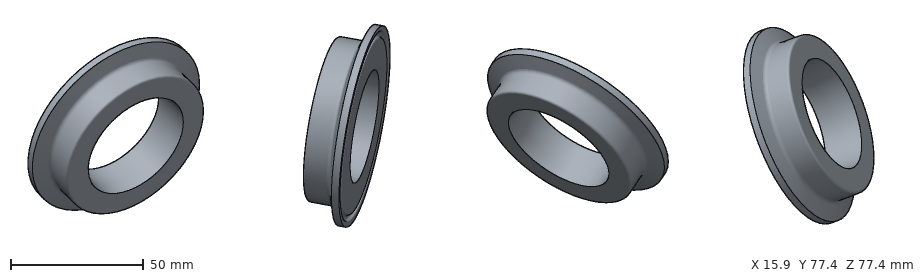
import cadquery as cq
import math

length = 15.9
flange_radius = 38.7
rim_width = 2.95
flange_back_angle = 20.0
hub_radius = 63.5 / 2
bore_front_radius = 21.75
bore_back_radius = 22.0

neck_fillet = 1.5
hub_end_fillet = 0.9

groove_radius = 35.4
groove_width = 2.6
groove_wall_depth = 0.8
groove_wall_draft = 20.0
groove_edge_fillet = 0.5


def make_body():
    """Flange with a conical back, running into the cylindrical hub."""
    cone_end = rim_width + (flange_radius - hub_radius) * math.tan(math.radians(flange_back_angle))
    profile = (
        cq.Workplane("XY")
        .moveTo(0, 0)
        .lineTo(0, flange_radius)
        .lineTo(rim_width, flange_radius)
        .lineTo(cone_end, hub_radius)
        .lineTo(length, hub_radius)
        .lineTo(length, 0)
        .close()
    )
    body = profile.revolve(360, (0, 0, 0), (1, 0, 0))
    edge_margin = 0.1
    neck_edge = cq.selectors.BoxSelector(
        (cone_end - edge_margin, -flange_radius, -flange_radius),
        (cone_end + edge_margin, flange_radius, flange_radius),
        boundingbox=True,
    )
    return body.edges(neck_edge).fillet(neck_fillet).faces(">X").edges().fillet(hub_end_fillet)


def cut_groove(body):
    """Gasket groove in the sealing face: drafted walls, a tangent round floor and rounded edges."""
    draft = math.radians(groove_wall_draft)
    mouth_half = groove_width / 2
    floor_half = mouth_half - groove_wall_depth * math.tan(draft)
    floor_arc_radius = floor_half / math.cos(draft)
    groove_depth = groove_wall_depth + floor_arc_radius * (1 - math.sin(draft))
    groove = (
        cq.Workplane("XY")
        .moveTo(0, groove_radius - mouth_half)
        .lineTo(groove_wall_depth, groove_radius - floor_half)
        .threePointArc((groove_depth, groove_radius), (groove_wall_depth, groove_radius + floor_half))
        .lineTo(0, groove_radius + mouth_half)
        .close()
        .revolve(360, (0, 0, 0), (1, 0, 0))
    )
    inner_edge = cq.selectors.RadiusNthSelector(0)
    outer_edge = cq.selectors.RadiusNthSelector(1)
    grooved = body.cut(groove)
    return grooved.faces("<X").edges(inner_edge + outer_edge).fillet(groove_edge_fillet)


def cut_bore(body):
    """Through bore that widens slightly towards the hub end."""
    bore = (
        cq.Workplane("XY")
        .lineTo(0, bore_front_radius)
        .lineTo(length, bore_back_radius)
        .lineTo(length, 0)
        .close()
        .revolve(360, (0, 0, 0), (1, 0, 0))
    )
    return body.cut(bore)


result = cut_bore(cut_groove(make_body()))